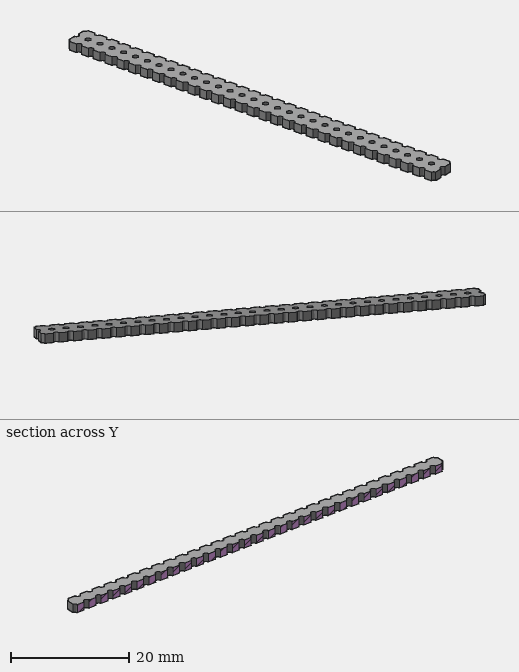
import cadquery as cq

length = 78.75
thickness = 1.65
hole_diameter = 1.0
columns = 31
rows = 2

pitch = length / columns
width = rows * pitch


def blank():
    """Plain strip centred on X and Y, standing on Z = 0."""
    return cq.Workplane("XY").box(length, width, thickness, centered=(True, True, False))


def grid_cutters():
    """Cylinders on every grid point: whole holes inside, half holes on edges, quarter holes on corners."""
    return (
        cq.Workplane("XY")
        .rarray(pitch, pitch, columns + 1, rows + 1)
        .circle(hole_diameter / 2)
        .extrude(thickness)
    )


def perforated_strip():
    return blank().cut(grid_cutters())


strip = perforated_strip()

result = cq.Compound.makeCompound([strip.val()])